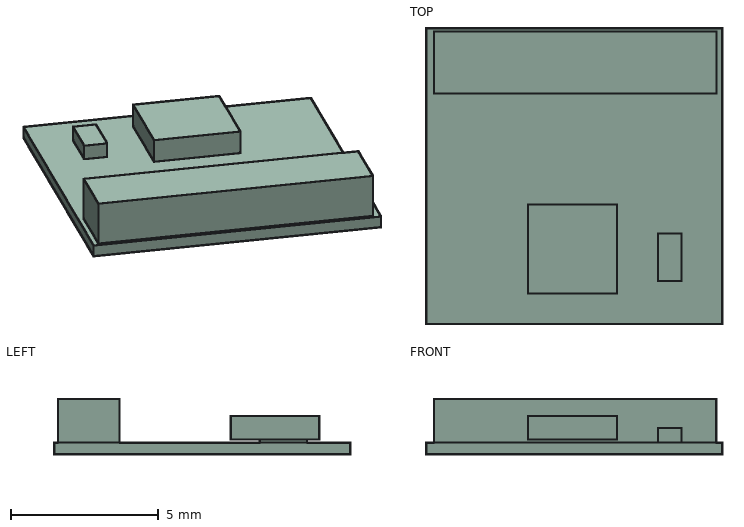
import cadquery as cq

board_side = 10.03
board_thickness = 0.4

connector_length = 9.58
connector_width = 2.1
overall_height = 1.89
connector_height = overall_height - board_thickness
connector_back_gap = 0.12
connector_center_x = 0.03
connector_center_y = board_side / 2 - connector_back_gap - connector_width / 2

chip_side = 3.01
chip_height = 0.8
chip_standoff = 0.1
chip_center_x = -0.06
chip_center_y = -2.47

passive_width = 0.8
passive_length = 1.6
passive_height = 0.5
passive_center_x = 3.24
passive_center_y = -2.75


def make_block(size_x, size_y, height, center_x, center_y, base_z):
    """Box centred at (center_x, center_y) and rising from base_z."""
    return (
        cq.Workplane("XY")
        .box(size_x, size_y, height, centered=(True, True, False))
        .translate((center_x, center_y, base_z))
    )


def make_board():
    return make_block(board_side, board_side, board_thickness, 0, 0, 0)


def make_connector():
    return make_block(
        connector_length, connector_width, connector_height,
        connector_center_x, connector_center_y, board_thickness,
    )


def make_chip():
    return make_block(
        chip_side, chip_side, chip_height,
        chip_center_x, chip_center_y, board_thickness + chip_standoff,
    )


def make_passive():
    return make_block(
        passive_width, passive_length, passive_height,
        passive_center_x, passive_center_y, board_thickness,
    )


board = make_board()
connector = make_connector()
chip = make_chip()
passive = make_passive()

result = cq.Compound.makeCompound([board.val(), connector.val(), chip.val(), passive.val()])